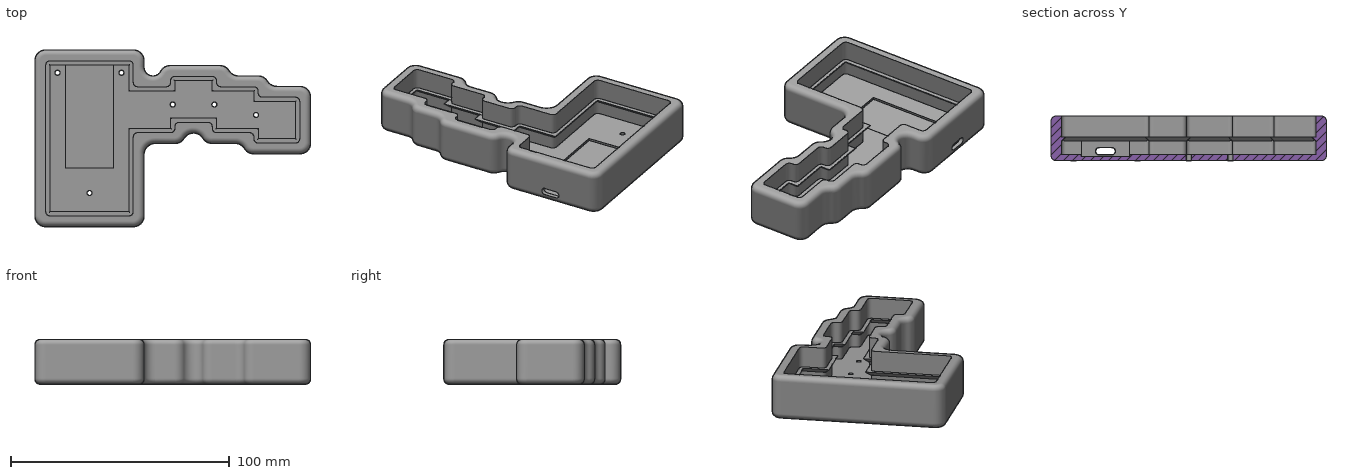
import cadquery as cq
import math

depth = 81.0
height = 20.6

wall = 5.0
edge_fillet = 2.5
corner_radius = 5.0
notch_radius = 4.0
pocket_radius = 2.0

key_pitch = 19.05
body_keys = 2
grip_keys = 4
key_clearance = 0.975
stagger = key_pitch / 4
row_drop = 11.9

floor_thickness = 3.0
lip_top = 11.0
lip_width = 2.0

recess_width = 22.0
recess_front = 27.0
thin_wall = 2.0
recess_back = depth - thin_wall
recess_depth = 1.0

slot_width = 9.0
slot_height = 3.2
slot_sill = 0.8

screw_diameter = 2.2
body_screw_spacing = 29.25
body_screw_back = 70.5
body_screw_front = 15.5
grip_screw_offset = 7.15

crest_shift = 1.5

key_wall = wall + key_clearance
body_width = body_keys * key_pitch + 2 * key_wall
length = body_width + grip_keys * key_pitch
body_center = body_width / 2

row_end = length - key_wall
low_start = row_end - key_pitch
high_end = low_start - key_pitch
high_start = high_end - key_pitch

grip_mid_back = depth - row_drop
grip_high_back = grip_mid_back + stagger
grip_low_back = grip_mid_back - stagger
row_height = key_pitch + 2 * key_wall
grip_mid_front = grip_mid_back - row_height
grip_high_front = grip_high_back - row_height
grip_low_front = grip_low_back - row_height

recess_floor = floor_thickness - recess_depth
lip_bottom = lip_top - lip_width


def step_run(rise, radii_sum):
    """Length of a step made of two tangent arcs."""
    return math.sqrt(rise * (2 * radii_sum - rise))


def add_step(path, start, end, first_radius, second_radius):
    """Append two opposite arcs that blend one straight side into a parallel one."""
    share = first_radius / (first_radius + second_radius)
    middle = (
        start[0] + share * (end[0] - start[0]),
        start[1] + share * (end[1] - start[1]),
    )
    return path.tangentArcPoint(middle, relative=False).tangentArcPoint(end, relative=False)


def arc_to(path, x, y):
    """Append an arc that leaves the last segment smoothly."""
    return path.tangentArcPoint((x, y), relative=False)


def outer_profile():
    """Outside outline, counter-clockwise from the front left corner."""
    r = corner_radius
    run = step_run(stagger, 2 * r)
    notch_run = step_run(stagger, notch_radius + r)
    end_front = low_start - key_clearance
    hollow_right = high_end - key_clearance
    hollow_left = high_start + key_clearance
    end_back = low_start + key_clearance
    crest_end = high_end + key_clearance + crest_shift
    notch_end = body_width + notch_radius

    path = cq.Workplane("XY").moveTo(r, 0).lineTo(body_width - r, 0)
    path = arc_to(path, body_width, r)
    path = path.lineTo(body_width, grip_mid_front - r)
    path = arc_to(path, body_width + r, grip_mid_front)

    path = path.lineTo(hollow_left, grip_mid_front)
    hollow_top = ((hollow_left + hollow_right) / 2, grip_high_front)
    path = add_step(path, (hollow_left, grip_mid_front), hollow_top, r, r)
    path = add_step(path, hollow_top, (hollow_right, grip_mid_front), r, r)
    path = path.lineTo(end_front - run, grip_mid_front)
    path = add_step(path, (end_front - run, grip_mid_front), (end_front, grip_low_front), r, r)

    path = path.lineTo(length - r, grip_low_front)
    path = arc_to(path, length, grip_low_front + r)
    path = path.lineTo(length, grip_low_back - r)
    path = arc_to(path, length - r, grip_low_back)

    path = path.lineTo(end_back + run, grip_low_back)
    path = add_step(path, (end_back + run, grip_low_back), (end_back, grip_mid_back), r, r)
    path = path.lineTo(crest_end + run, grip_mid_back)
    path = add_step(path, (crest_end + run, grip_mid_back), (crest_end, grip_high_back), r, r)
    path = path.lineTo(notch_end + notch_run, grip_high_back)
    notch_start = (notch_end + notch_run, grip_high_back)
    path = add_step(path, notch_start, (notch_end, grip_mid_back), r, notch_radius)
    path = arc_to(path, body_width, grip_mid_back + notch_radius)

    path = path.lineTo(body_width, depth - r)
    path = arc_to(path, body_width - r, depth)
    path = path.lineTo(r, depth)
    path = arc_to(path, 0, depth - r)
    path = path.lineTo(0, r)
    path = arc_to(path, r, 0)
    return path.close()


def inner_points(inset):
    """Square-cornered pocket outline, drawn in from the pocket wall by inset."""
    gap = key_clearance - inset
    side = wall + inset
    body_right = body_width - side
    return [
        (side, side),
        (body_right, side),
        (body_right, grip_mid_front + side),
        (high_start + gap, grip_mid_front + side),
        (high_start + gap, grip_high_front + side),
        (high_end - gap, grip_high_front + side),
        (high_end - gap, grip_mid_front + side),
        (low_start - gap, grip_mid_front + side),
        (low_start - gap, grip_low_front + side),
        (row_end + gap, grip_low_front + side),
        (row_end + gap, grip_low_back - side),
        (low_start + gap, grip_low_back - side),
        (low_start + gap, grip_mid_back - side),
        (high_end + gap, grip_mid_back - side),
        (high_end + gap, grip_high_back - side),
        (high_start - gap, grip_high_back - side),
        (high_start - gap, grip_mid_back - side),
        (body_right, grip_mid_back - side),
        (body_right, depth - side),
        (side, depth - side),
    ]


def pocket_prism(bottom, top):
    """Round-cornered slice of the pocket between two heights."""
    outline = cq.Workplane("XY").workplane(offset=bottom).polyline(inner_points(0)).close()
    return outline.extrude(top - bottom).edges("|Z").fillet(pocket_radius)


def lip():
    """Ledge round the pocket, flat on top and sloping at 45 degrees underneath."""
    opening = (
        cq.Workplane("XY")
        .workplane(offset=lip_bottom)
        .polyline(inner_points(0))
        .close()
        .workplane(offset=lip_width)
        .polyline(inner_points(lip_width))
        .close()
        .loft(ruled=True)
    )
    return pocket_prism(lip_bottom, lip_top).cut(opening)


def outer_block():
    """Solid body with rounded top and bottom edges."""
    block = outer_profile().extrude(height)
    return block.faces("<Z or >Z").edges().fillet(edge_fillet)


def recess():
    """Block that sinks the middle of the floor and thins the back wall up to the lip."""
    size = (recess_width, recess_back - recess_front, lip_bottom - recess_floor)
    corner = (body_center - recess_width / 2, recess_front, recess_floor)
    return cq.Workplane("XY", origin=corner).box(*size, centered=False)


def wall_slot():
    """Round-ended connector slot through the thinned back wall."""
    slot_center = recess_floor + slot_sill + slot_height / 2
    return (
        cq.Workplane("XZ", origin=(body_center, depth, slot_center))
        .slot2D(slot_width, slot_height)
        .extrude(wall)
    )


def screw_holes():
    """Holes through the floor: three in the body, three along the grip."""
    grip_screw_back = grip_mid_back - key_wall - grip_screw_offset
    points = [
        (body_center - body_screw_spacing / 2, body_screw_back),
        (body_center + body_screw_spacing / 2, body_screw_back),
        (body_center, body_screw_front),
        (high_start, grip_screw_back),
        (high_end, grip_screw_back),
        (low_start, grip_screw_back - stagger),
    ]
    return cq.Workplane("XY").pushPoints(points).circle(screw_diameter / 2).extrude(height)


result = outer_block().cut(pocket_prism(floor_thickness, height)).union(lip())
result = result.cut(recess()).cut(wall_slot()).cut(screw_holes())